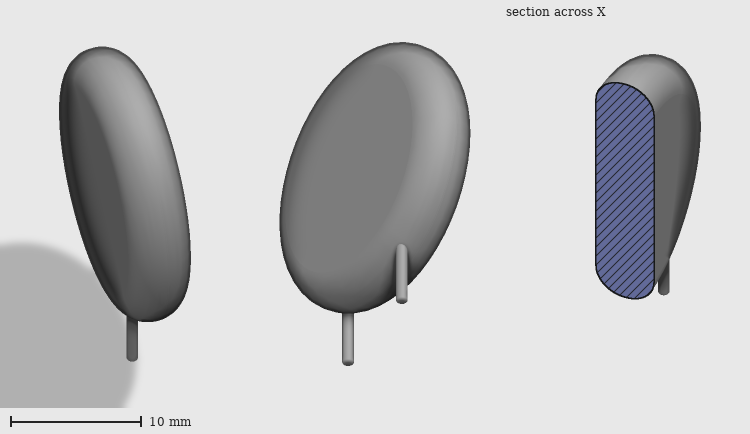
import cadquery as cq

disc_diameter = 21.5
disc_thickness = 4.9
rim_band_width = 0.12
edge_radius = (disc_thickness - rim_band_width) / 2

lead_diameter = 0.9
lead_pitch_x = 10.0
lead_pitch_y = 2.1
lead_protrusion = 3.03
lead_tip_radius = 0.2

disc_center_z = disc_diameter / 2
lead_top_z = disc_center_z / 2


def make_disc():
    """Coin-shaped body with both circular edges fully rounded."""
    return (
        cq.Workplane("XZ", origin=(0, disc_thickness / 2, disc_center_z))
        .circle(disc_diameter / 2)
        .extrude(disc_thickness)
        .edges("%CIRCLE")
        .fillet(edge_radius)
    )


def make_lead(x, y):
    """Round vertical wire with a rounded lower tip, rooted inside the disc."""
    return (
        cq.Workplane("XY", origin=(x, y, -lead_protrusion))
        .circle(lead_diameter / 2)
        .extrude(lead_top_z + lead_protrusion)
        .faces("<Z")
        .edges()
        .fillet(lead_tip_radius)
    )


result = make_disc()
for side in (-1, 1):
    result = result.union(make_lead(side * lead_pitch_x / 2, -side * lead_pitch_y / 2))